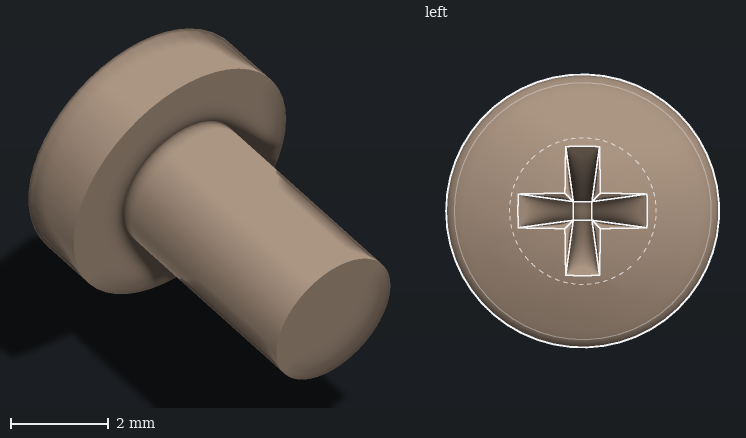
import cadquery as cq
import math

TOTAL_LENGTH = 7.37
HEAD_RADIUS = 2.8
SHANK_RADIUS = 1.5
SHANK_LENGTH = 5.0
DOME_RADIUS = 5.005
RIM_FILLET = 0.355

ARM_LENGTH = 2.92
ARM_WIDTH = 0.73
FLOOR_WIDTH = 0.38
RECESS_DEPTH = 1.695

head_back = TOTAL_LENGTH - SHANK_LENGTH


def dome_sag(radius):
    """Axial drop of the dome from its apex at the given radius."""
    return DOME_RADIUS - math.sqrt(DOME_RADIUS**2 - radius**2)


inner_corner_radius = ARM_WIDTH / math.sqrt(2)
apex_x = -dome_sag(inner_corner_radius)
dome_center_x = apex_x + DOME_RADIUS


def make_body():
    """Revolve the head and shank, with a rim arc tangent to the dome."""
    fillet_center_r = HEAD_RADIUS - RIM_FILLET
    fillet_angle = math.asin(fillet_center_r / (DOME_RADIUS - RIM_FILLET))
    fillet_center_x = dome_center_x - (DOME_RADIUS - RIM_FILLET) * math.cos(fillet_angle)

    def dome_point(angle):
        return (dome_center_x - DOME_RADIUS * math.cos(angle), DOME_RADIUS * math.sin(angle))

    middle_angle = (fillet_angle + math.pi / 2) / 2
    fillet_middle = (
        fillet_center_x - RIM_FILLET * math.cos(middle_angle),
        fillet_center_r + RIM_FILLET * math.sin(middle_angle),
    )
    return (
        cq.Workplane("XY")
        .moveTo(apex_x, 0)
        .threePointArc(dome_point(fillet_angle / 2), dome_point(fillet_angle))
        .threePointArc(fillet_middle, (fillet_center_x, HEAD_RADIUS))
        .lineTo(head_back, HEAD_RADIUS)
        .lineTo(head_back, SHANK_RADIUS)
        .lineTo(TOTAL_LENGTH, SHANK_RADIUS)
        .lineTo(TOTAL_LENGTH, 0)
        .close()
        .revolve(360, (0, 0, 0), (1, 0, 0))
    )


def make_recess_bar(size_y, size_z):
    """One bar of the cross, tapering from its mouth to the square floor."""
    return (
        cq.Workplane("YZ", origin=(apex_x, 0, 0))
        .rect(size_y, size_z)
        .workplane(offset=RECESS_DEPTH)
        .rect(FLOOR_WIDTH, FLOOR_WIDTH)
        .loft(ruled=True)
    )


result = make_body()
for bar_size in ((ARM_LENGTH, ARM_WIDTH), (ARM_WIDTH, ARM_LENGTH)):
    result = result.cut(make_recess_bar(*bar_size))